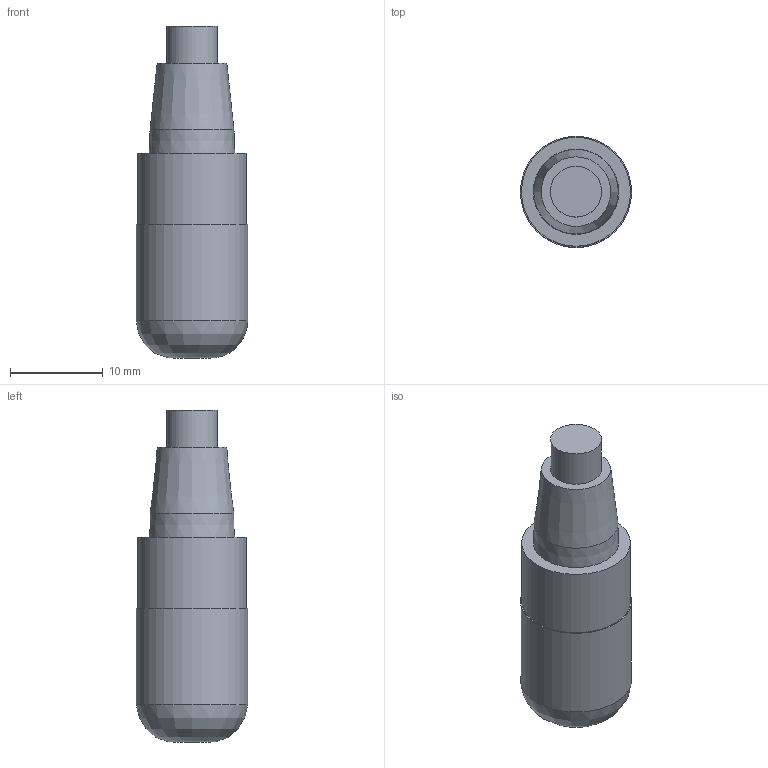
import cadquery as cq

cap_diameter = 12.0
cap_height = 14.4
cap_round_radius = 4.0

barrel_diameter = 11.75
barrel_height = 7.7
collar_base_diameter = 9.2
collar_top_diameter = 9.05
collar_height = 2.5
cone_tip_diameter = 7.5
cone_height = 7.2
tip_diameter = 5.5
tip_height = 4.0


def make_cap():
    """Solid cylinder with a fully rounded bottom edge."""
    cylinder = cq.Workplane("XY").circle(cap_diameter / 2).extrude(cap_height)
    return cylinder.faces("<Z").edges().fillet(cap_round_radius)


def make_plug():
    """Barrel, slightly tapered collar, cone and tip, revolved about Z as one solid."""
    barrel_top = cap_height + barrel_height
    collar_top = barrel_top + collar_height
    cone_top = collar_top + cone_height
    tip_top = cone_top + tip_height

    half_profile = (
        cq.Workplane("XZ")
        .moveTo(0, cap_height)
        .lineTo(barrel_diameter / 2, cap_height)
        .lineTo(barrel_diameter / 2, barrel_top)
        .lineTo(collar_base_diameter / 2, barrel_top)
        .lineTo(collar_top_diameter / 2, collar_top)
        .lineTo(cone_tip_diameter / 2, cone_top)
        .lineTo(tip_diameter / 2, cone_top)
        .lineTo(tip_diameter / 2, tip_top)
        .lineTo(0, tip_top)
        .close()
    )
    return half_profile.revolve(360, (0, 0, 0), (0, 1, 0))


cap = make_cap()
plug = make_plug()

result = cq.Compound.makeCompound([cap.val(), plug.val()])